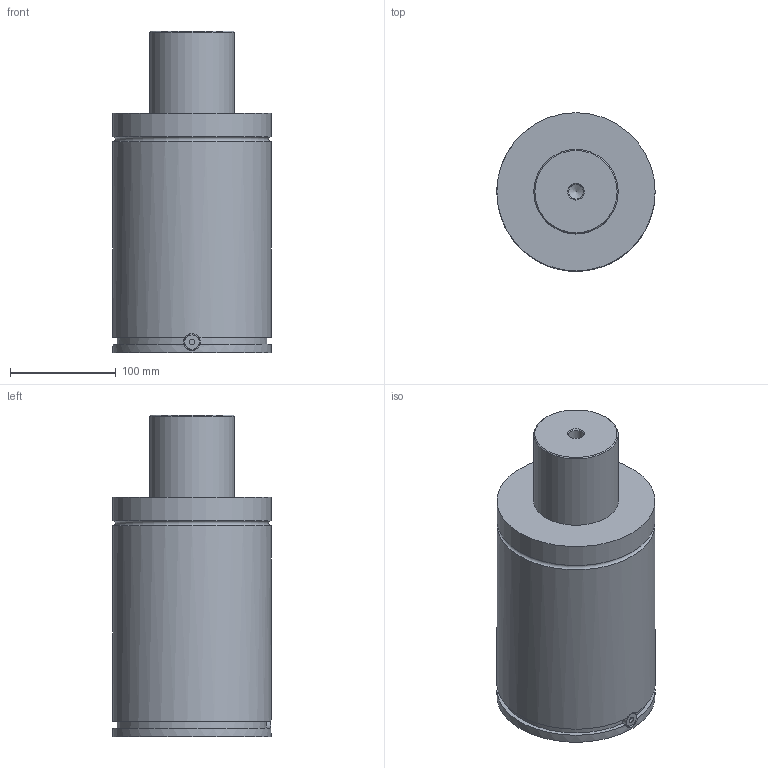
import cadquery as cq
import math

body_diameter = 150.0
body_height = 227.0
body_radius = body_diameter / 2

total_height = 305.0
rod_diameter = 80.0
rod_edge_chamfer = 1.0

upper_groove_radius = 2.5
upper_groove_height = 202.5

lower_groove_bottom = 8.0
lower_groove_top = 15.0
lower_groove_depth = 4.0

rod_hole_diameter = 14.0
rod_hole_mouth_diameter = 16.0
rod_hole_depth = 25.0
drill_point_angle = 118.0

port_height = 10.3
port_diameter = 16.0
port_depth = 6.0
plug_diameter = 13.5
plug_face_depth = 0.6
plug_socket_diameter = 5.5
plug_socket_depth = 3.0


def make_body():
    """Body and rod turned as one profile, with both retaining grooves."""
    rod_radius = rod_diameter / 2
    groove_floor_radius = body_radius - lower_groove_depth
    profile = (
        cq.Workplane("XZ")
        .lineTo(body_radius, 0)
        .lineTo(body_radius, lower_groove_bottom)
        .lineTo(groove_floor_radius, lower_groove_bottom)
        .lineTo(groove_floor_radius, lower_groove_top)
        .lineTo(body_radius, lower_groove_top)
        .lineTo(body_radius, upper_groove_height - upper_groove_radius)
        .threePointArc(
            (body_radius - upper_groove_radius, upper_groove_height),
            (body_radius, upper_groove_height + upper_groove_radius),
        )
        .lineTo(body_radius, body_height)
        .lineTo(rod_radius, body_height)
        .lineTo(rod_radius, total_height - rod_edge_chamfer)
        .lineTo(rod_radius - rod_edge_chamfer, total_height)
        .lineTo(0, total_height)
        .close()
    )
    return profile.revolve(360, (0, 0, 0), (0, 1, 0))


def make_rod_hole():
    """Blind drilled hole on the rod axis, with a 45 degree mouth and a conical bottom."""
    hole_radius = rod_hole_diameter / 2
    mouth_radius = rod_hole_mouth_diameter / 2
    mouth_depth = mouth_radius - hole_radius
    hole_bottom = total_height - rod_hole_depth
    point_length = hole_radius / math.tan(math.radians(drill_point_angle / 2))
    profile = (
        cq.Workplane("XZ")
        .moveTo(0, total_height)
        .lineTo(mouth_radius, total_height)
        .lineTo(hole_radius, total_height - mouth_depth)
        .lineTo(hole_radius, hole_bottom)
        .lineTo(0, hole_bottom - point_length)
        .close()
    )
    return profile.revolve(360, (0, 0, 0), (0, 1, 0))


def port_cylinder(diameter, inner_depth, outer_depth):
    """Cylinder along the port axis between two depths below the body surface."""
    return (
        cq.Workplane("XZ", origin=(0, outer_depth - body_radius, port_height))
        .circle(diameter / 2)
        .extrude(outer_depth - inner_depth)
    )


def add_port(part):
    """Bore the port, leave a narrow ring gap around the plug and sink the plug socket."""
    recess = port_cylinder(port_diameter, port_depth, 0)
    plug = port_cylinder(plug_diameter, port_depth, plug_face_depth)
    socket = port_cylinder(plug_socket_diameter, plug_face_depth + plug_socket_depth, plug_face_depth)
    return part.cut(recess).union(plug).cut(socket)


result = add_port(make_body().cut(make_rod_hole()))